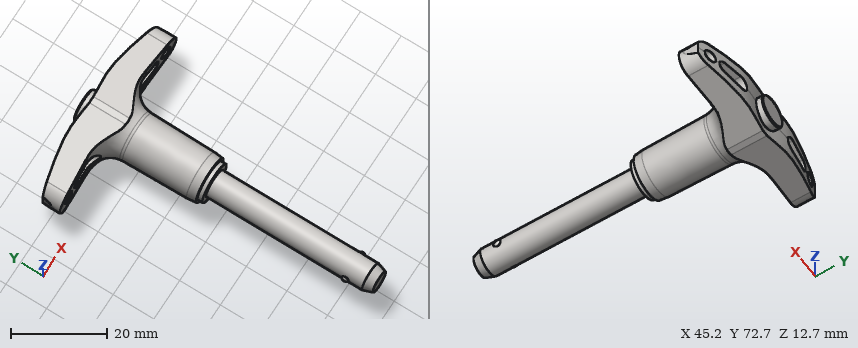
import cadquery as cq
import math

total_length = 72.65

shank_radius = 3.3
tip_radius = 2.55
tip_length = 2.2
ball_radius = 1.15
ball_offset = 2.55
ball_y = 6.3
collar_radius = 4.7
collar_start = 40.45

grip_start = 41.6
grip_taper_start = 43.8
grip_end = 59.35
flare_start = 60.0
grip_nose_radius = 5.4
grip_small_radius = 5.6
grip_large_radius = 5.8
grip_neck_radius = 5.9

flare_outer_radius = 12.35
flare_mid_radius = 7.7
flare_mid_y = 63.5
flare_end = 64.8

half_span = 22.6
handle_width = 12.7
half_width = handle_width / 2
flat_half_length = 0.8
end_radius = 3.8
end_center = half_span - end_radius
crest_x = 5.8
crest_y = 71.25
back_mid_x = 14.5
back_mid_y = 70.45
back_center_y = 70.7
back_end_y = 68.65
pad_x = 21.35
pad_y = 64.15
arm_root_overlap = 1.45
draft_start_y = 65.4
draft_inset = 0.5

slot_inner_x = 9.65
slot_outer_x = 14.7
slot_inner_radius = 1.95
slot_outer_radius = 1.6
hole_x = 18.8
hole_radius = 1.5

button_radius = 3.85
button_base_y = 69.0
button_chamfer = 0.2


def revolve_about_pin(profile):
    """Revolve a closed radius/Y profile a full turn about the pin axis."""
    return profile.close().revolve(360, (0, 0, 0), (0, 1, 0))


def prism_along_pin(profile):
    """Extrude an X/Z profile from Y = 0 over the full length."""
    return profile.extrude(-total_length)


def make_pin_and_grip():
    body = revolve_about_pin(
        cq.Workplane("XY")
        .moveTo(0, 0)
        .lineTo(tip_radius, 0)
        .lineTo(shank_radius, tip_length)
        .lineTo(shank_radius, collar_start)
        .lineTo(collar_radius, collar_start)
        .lineTo(collar_radius, grip_start)
        .lineTo(grip_nose_radius, grip_start)
        .lineTo(grip_small_radius, grip_taper_start)
        .lineTo(grip_large_radius, grip_end)
        .lineTo(grip_neck_radius, flare_start)
        .lineTo(0, flare_start)
    )
    for side in (-1, 1):
        ball = cq.Workplane("XY").sphere(ball_radius).translate((side * ball_offset, ball_y, 0))
        body = body.union(ball)
    return body


def tapered_slot(near_x, near_radius, far_x, far_radius):
    """Prism around two circles on the X axis joined by their outer tangents."""
    slope = math.asin((near_radius - far_radius) / (far_x - near_x))
    near_point = (near_x + near_radius * math.sin(slope), near_radius * math.cos(slope))
    far_point = (far_x + far_radius * math.sin(slope), far_radius * math.cos(slope))
    return prism_along_pin(
        cq.Workplane("XZ")
        .moveTo(*near_point)
        .lineTo(*far_point)
        .threePointArc((far_x + far_radius, 0), (far_point[0], -far_point[1]))
        .lineTo(near_point[0], -near_point[1])
        .threePointArc((near_x - near_radius, 0), near_point)
        .close()
    )


def make_outline():
    """Tapered, round-ended handle outline; its sides are tangent to the end arcs."""
    run = end_center - flat_half_length
    slope = math.atan2(half_width, run) - math.asin(end_radius / math.hypot(run, half_width))
    tangent_x = end_center + end_radius * math.sin(slope)
    tangent_z = end_radius * math.cos(slope)
    return prism_along_pin(
        cq.Workplane("XZ")
        .moveTo(-flat_half_length, half_width)
        .lineTo(flat_half_length, half_width)
        .lineTo(tangent_x, tangent_z)
        .threePointArc((half_span, 0), (tangent_x, -tangent_z))
        .lineTo(flat_half_length, -half_width)
        .lineTo(-flat_half_length, -half_width)
        .lineTo(-tangent_x, -tangent_z)
        .threePointArc((-half_span, 0), (-tangent_x, tangent_z))
        .close()
    )


def make_side_envelope():
    """Side shape of the handle: curved back with a central dip and drafted ends."""
    end_x = half_span - draft_inset
    back_points = [(back_mid_x, back_mid_y), (crest_x, crest_y), (0, back_center_y)]
    back_points += [(-x, y) for x, y in reversed(back_points[:-1])]
    back_points.append((-end_x, back_end_y))
    return (
        cq.Workplane("XY")
        .moveTo(-half_span, flare_start)
        .lineTo(half_span, flare_start)
        .lineTo(half_span, draft_start_y)
        .lineTo(end_x, back_end_y)
        .spline(back_points, includeCurrent=True)
        .lineTo(-half_span, draft_start_y)
        .close()
        .extrude(half_width, both=True)
    )


def make_flare():
    return revolve_about_pin(
        cq.Workplane("XY")
        .moveTo(0, flare_start)
        .lineTo(grip_neck_radius, flare_start)
        .threePointArc(
            (flare_mid_radius, flare_mid_y),
            (flare_outer_radius, flare_end),
        )
        .lineTo(flare_outer_radius, total_length)
        .lineTo(0, total_length)
    )


def make_arms():
    """Arm blank: sloping underside with a flat pad at each end."""
    underside_slope = (flare_end - pad_y) / (pad_x - flare_outer_radius)
    root_x = flare_outer_radius - arm_root_overlap
    root_y = flare_end + underside_slope * arm_root_overlap
    blank = (
        cq.Workplane("XY")
        .moveTo(-half_span, pad_y)
        .lineTo(-pad_x, pad_y)
        .lineTo(-root_x, root_y)
        .lineTo(root_x, root_y)
        .lineTo(pad_x, pad_y)
        .lineTo(half_span, pad_y)
        .lineTo(half_span, total_length)
        .lineTo(-half_span, total_length)
        .close()
        .extrude(half_width, both=True)
    )
    return blank.cut(prism_along_pin(cq.Workplane("XZ").circle(flare_outer_radius)))


def make_handle():
    handle = make_flare().union(make_arms())
    handle = handle.intersect(make_outline()).intersect(make_side_envelope())
    slot = tapered_slot(slot_inner_x, slot_inner_radius, slot_outer_x, slot_outer_radius)
    holes = prism_along_pin(cq.Workplane("XZ").pushPoints([(-hole_x, 0), (hole_x, 0)]).circle(hole_radius))
    return handle.cut(slot).cut(slot.mirror("YZ")).cut(holes)


def make_button():
    return revolve_about_pin(
        cq.Workplane("XY")
        .moveTo(0, button_base_y)
        .lineTo(button_radius, button_base_y)
        .lineTo(button_radius, total_length - button_chamfer)
        .lineTo(button_radius - button_chamfer, total_length)
        .lineTo(0, total_length)
    )


result = make_pin_and_grip().union(make_handle()).union(make_button())